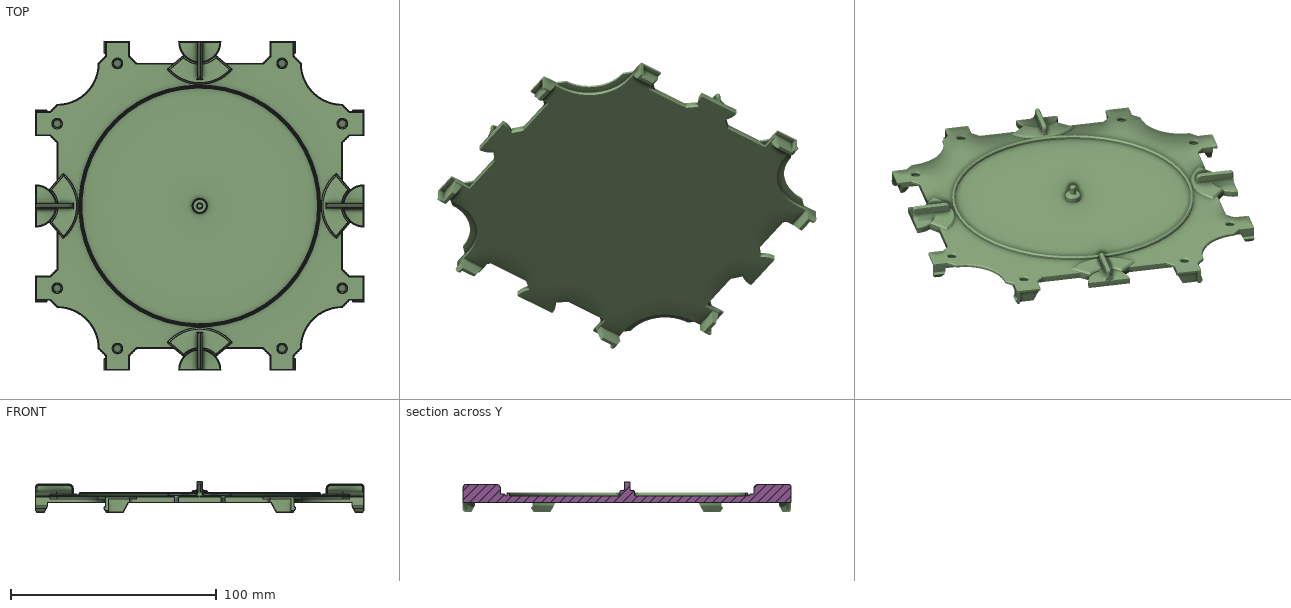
import cadquery as cq
import math

HALF_SPAN = 79.8
PLATE_HALF = 69.3

PLATE_BOTTOM = 4.8
LIP_BOTTOM = 6.5
PLATE_TOP = 8.0
RIM_TOP = 9.5
FAN_TOP = 9.0
RIDGE_TOP = 13.7
COLLAR_TOP = 10.7
PIN_TOP = 15.0
EDGE_CHAMFER = 0.4

TAB_INNER = 34.2
TAB_OUTER = 45.8
TAB_FLANK = 3.5
TAB_ROOT = PLATE_HALF - TAB_FLANK
LIP_SCALLOP_RADIUS = PLATE_HALF - TAB_OUTER - TAB_FLANK
BASE_SCALLOP_RADIUS = PLATE_HALF - TAB_OUTER

FOOT_DEPTH = 5.9
FOOT_BEVEL_HEIGHT = 3.2
FOOT_BEVEL_DEPTH = 1.8
FOOT_SIDE_STEP = 0.5
FOOT_SIDE_TAPER = 2.5
FOOT_TOE_CHAMFER = 0.8
SNAP_REACH = 0.8
SNAP_TOP = 3.0
SNAP_HIGH = 2.2
SNAP_LOW = 1.9
SNAP_TOE = 0.5
SETBACK = 2.4
STRIP_WIDTH = 1.5

HOLE_OFFSET = (TAB_INNER + TAB_OUTER) / 2
HOLE_DISTANCE = PLATE_HALF
HOLE_RADIUS = 1.9
SINK_RADIUS = 2.5
HOLE_DEPTH = 1.6

HUB_RADIUS = 10.2
FAN_RADIUS = 20.7
FAN_HALF_ANGLE = math.radians(49.5)
FAN_CHAMFER = 0.8
RIDGE_LENGTH = 18.4
RIDGE_HALF_WIDTH = 1.1
RIDGE_OUTER_ROUND = 1.6
RIDGE_INNER_ROUND = 2.2
RIDGE_CHAMFER = 0.6
HUB_ROOT_FILLET = 1.9
FAN_ROOT_FILLET = 0.5

RIM_OUTER_RADIUS = 58.7
RIM_INNER_RADIUS = 57.3
RIM_CHAMFER = 0.5
COLLAR_RADIUS = 3.7
COLLAR_CHAMFER = 0.5
PIN_RADIUS = 1.5
PIN_CHAMFER = 0.3
PIN_ROOT_FILLET = 0.6


def on_all_sides(shape):
    """The shape, made for the +Y side, repeated on the four sides."""
    pattern = shape
    for turn in (90, 180, 270):
        pattern = pattern.union(shape.rotate((0, 0, 0), (0, 0, 1), turn))
    return pattern


def with_mirror_image(shape):
    return shape.union(shape.mirror("YZ"))


def prism(points, bottom, top):
    return cq.Workplane("XY").workplane(offset=bottom).polyline(points).close().extrude(top - bottom)


def scalloped_square(radius, bottom, top):
    """Square plate with a round cutout centred on each corner."""
    plane = cq.Workplane("XY").workplane(offset=bottom)
    square = plane.rect(2 * PLATE_HALF, 2 * PLATE_HALF).extrude(top - bottom)
    corners = plane.rect(2 * PLATE_HALF, 2 * PLATE_HALF, forConstruction=True).vertices()
    return square.cut(corners.circle(radius).extrude(top - bottom))


def make_lip():
    """Upper layer of the plate, with flanked tabs and a chamfered top edge."""
    flank_end = PLATE_HALF + TAB_FLANK
    tab = prism(
        [
            (TAB_INNER, HALF_SPAN),
            (TAB_OUTER, HALF_SPAN),
            (TAB_OUTER, flank_end),
            (TAB_OUTER + TAB_FLANK, PLATE_HALF),
            (TAB_OUTER + TAB_FLANK, TAB_ROOT),
            (TAB_INNER - TAB_FLANK, TAB_ROOT),
            (TAB_INNER - TAB_FLANK, PLATE_HALF),
            (TAB_INNER, flank_end),
        ],
        LIP_BOTTOM,
        PLATE_TOP,
    )
    tabs = on_all_sides(with_mirror_image(tab))
    square = scalloped_square(LIP_SCALLOP_RADIUS, LIP_BOTTOM, PLATE_TOP)
    lip = square.union(tabs).clean()
    return lip.faces(">Z").edges().chamfer(EDGE_CHAMFER)


def make_base():
    """Lower layer of the plate, set back under the lip."""
    tab = prism(
        [
            (TAB_INNER, TAB_ROOT),
            (TAB_INNER, HALF_SPAN),
            (TAB_OUTER, HALF_SPAN),
            (TAB_OUTER, TAB_ROOT),
        ],
        PLATE_BOTTOM,
        LIP_BOTTOM,
    )
    tabs = on_all_sides(with_mirror_image(tab))
    return scalloped_square(BASE_SCALLOP_RADIUS, PLATE_BOTTOM, LIP_BOTTOM).union(tabs)


def make_feet():
    """Tapered feet, each with a snap nose on the side away from the clip."""
    foot_side = TAB_INNER + FOOT_SIDE_STEP
    front_profile = [
        (foot_side, PLATE_BOTTOM),
        (TAB_OUTER, PLATE_BOTTOM),
        (TAB_OUTER, SNAP_TOP),
        (TAB_OUTER + SNAP_REACH, SNAP_HIGH),
        (TAB_OUTER + SNAP_REACH, SNAP_LOW),
        (TAB_OUTER - SNAP_TOE, 0),
        (foot_side + FOOT_SIDE_TAPER, 0),
    ]
    inner = HALF_SPAN - FOOT_DEPTH
    side_profile = [
        (inner, PLATE_BOTTOM),
        (HALF_SPAN, PLATE_BOTTOM),
        (HALF_SPAN, FOOT_TOE_CHAMFER),
        (HALF_SPAN - FOOT_TOE_CHAMFER, 0),
        (inner + FOOT_BEVEL_DEPTH, 0),
        (inner, FOOT_BEVEL_HEIGHT),
    ]
    across = cq.Workplane("XZ").polyline(front_profile).close().extrude(-HALF_SPAN)
    along = cq.Workplane("YZ").polyline(side_profile).close().extrude(HALF_SPAN)
    return on_all_sides(with_mirror_image(across.intersect(along)))


def make_setbacks():
    """Cuts that leave only the outer strip of each foot at full reach."""
    width = TAB_OUTER - STRIP_WIDTH - TAB_INNER
    cut = cq.Workplane("XY").box(width, SETBACK, LIP_BOTTOM, centered=False)
    cut = cut.translate((TAB_INNER, HALF_SPAN - SETBACK, 0))
    return on_all_sides(with_mirror_image(cut))


def make_holes():
    """Blind holes with a conical mouth."""
    sink_depth = SINK_RADIUS - HOLE_RADIUS
    hole = (
        cq.Workplane("XZ")
        .polyline(
            [
                (0, PLATE_TOP),
                (SINK_RADIUS, PLATE_TOP),
                (HOLE_RADIUS, PLATE_TOP - sink_depth),
                (HOLE_RADIUS, PLATE_TOP - HOLE_DEPTH),
                (0, PLATE_TOP - HOLE_DEPTH),
            ]
        )
        .close()
        .revolve(360, (0, 0, 0), (0, 1, 0))
        .translate((HOLE_OFFSET, HOLE_DISTANCE, 0))
    )
    return on_all_sides(with_mirror_image(hole))


def ridge_root(floor, radius, start, end):
    """Concave roots on both sides of a ridge, between two distances from its outer face."""
    root_x = RIDGE_HALF_WIDTH + radius
    root_z = floor + radius
    bend = radius * math.sqrt(0.5)
    return (
        cq.Workplane("XZ", origin=(0, HALF_SPAN - start, 0))
        .moveTo(-root_x, floor)
        .threePointArc((-root_x + bend, root_z - bend), (-RIDGE_HALF_WIDTH, root_z))
        .lineTo(RIDGE_HALF_WIDTH, root_z)
        .threePointArc((root_x - bend, root_z - bend), (root_x, floor))
        .close()
        .extrude(end - start)
    )


def make_clip():
    """Half-round hub, raised fan around it and an upright ridge along the middle."""
    side_x = math.sin(FAN_HALF_ANGLE)
    side_y = math.cos(FAN_HALF_ANGLE)

    def fan_point(radius, side):
        return (side * radius * side_x, HALF_SPAN - radius * side_y)

    fan = (
        cq.Workplane("XY")
        .workplane(offset=PLATE_BOTTOM)
        .moveTo(*fan_point(HUB_RADIUS, -1))
        .lineTo(*fan_point(FAN_RADIUS, -1))
        .threePointArc((0, HALF_SPAN - FAN_RADIUS), fan_point(FAN_RADIUS, 1))
        .lineTo(*fan_point(HUB_RADIUS, 1))
        .threePointArc((0, HALF_SPAN - HUB_RADIUS), fan_point(HUB_RADIUS, -1))
        .close()
        .extrude(FAN_TOP - PLATE_BOTTOM)
        .faces(">Z")
        .edges()
        .chamfer(FAN_CHAMFER)
    )
    hub = (
        cq.Workplane("XY")
        .workplane(offset=PLATE_BOTTOM)
        .moveTo(-HUB_RADIUS, HALF_SPAN)
        .threePointArc((0, HALF_SPAN - HUB_RADIUS), (HUB_RADIUS, HALF_SPAN))
        .close()
        .extrude(PLATE_TOP - PLATE_BOTTOM)
        .faces(">Z")
        .edges()
        .chamfer(EDGE_CHAMFER)
    )
    ridge = (
        cq.Workplane("XY")
        .box(2 * RIDGE_HALF_WIDTH, RIDGE_LENGTH, RIDGE_TOP - PLATE_BOTTOM, centered=(True, False, False))
        .translate((0, HALF_SPAN - RIDGE_LENGTH, PLATE_BOTTOM))
        .edges("|X and >Z and >Y")
        .fillet(RIDGE_OUTER_ROUND)
        .edges("|X and >Z and <Y")
        .fillet(RIDGE_INNER_ROUND)
        .faces(">Z")
        .edges("|Y")
        .chamfer(RIDGE_CHAMFER)
    )
    hub_root = ridge_root(PLATE_TOP, HUB_ROOT_FILLET, 0, HUB_RADIUS)
    fan_root = ridge_root(FAN_TOP, FAN_ROOT_FILLET, HUB_RADIUS, RIDGE_LENGTH)
    return hub.union(fan).union(ridge).union(hub_root).union(fan_root)


def make_pin():
    """Centre pin with a rounded root on a chamfered collar."""
    bend = PIN_ROOT_FILLET * (1 - math.sqrt(0.5))
    return (
        cq.Workplane("XZ")
        .moveTo(0, LIP_BOTTOM)
        .lineTo(COLLAR_RADIUS, LIP_BOTTOM)
        .lineTo(COLLAR_RADIUS, COLLAR_TOP - COLLAR_CHAMFER)
        .lineTo(COLLAR_RADIUS - COLLAR_CHAMFER, COLLAR_TOP)
        .lineTo(PIN_RADIUS + PIN_ROOT_FILLET, COLLAR_TOP)
        .threePointArc(
            (PIN_RADIUS + bend, COLLAR_TOP + bend),
            (PIN_RADIUS, COLLAR_TOP + PIN_ROOT_FILLET),
        )
        .lineTo(PIN_RADIUS, PIN_TOP - PIN_CHAMFER)
        .lineTo(PIN_RADIUS - PIN_CHAMFER, PIN_TOP)
        .lineTo(0, PIN_TOP)
        .close()
        .revolve(360, (0, 0, 0), (0, 1, 0))
    )


def make_rim():
    rim = (
        cq.Workplane("XY")
        .workplane(offset=LIP_BOTTOM)
        .circle(RIM_OUTER_RADIUS)
        .circle(RIM_INNER_RADIUS)
        .extrude(RIM_TOP - LIP_BOTTOM)
    )
    return rim.faces(">Z").edges().chamfer(RIM_CHAMFER)


result = (
    make_lip()
    .union(make_base())
    .union(make_feet())
    .cut(make_setbacks())
    .cut(make_holes())
    .union(on_all_sides(make_clip()))
    .union(make_rim())
    .union(make_pin())
)